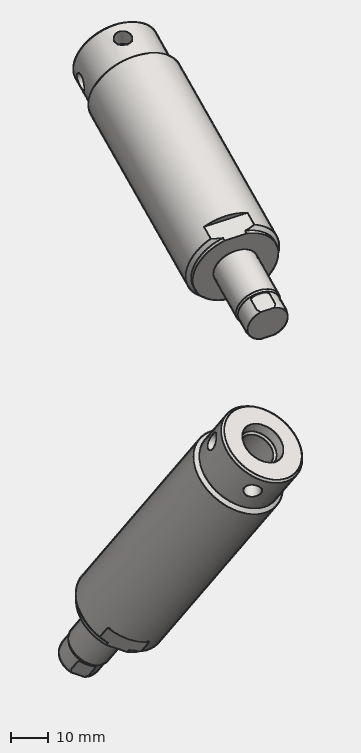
import cadquery as cq

total_length = 102.4

collar_radius = 12.2
collar_length = 12.7
collar_chamfer = 0.6

body_radius = 13.4
body_end = 79.9
body_front_cone_length = 0.9
body_rear_cone_length = 1.0
lip_radius = 12.3
lip_end = 80.9

shaft_radius = 6.3
shaft_end = 96.6
tip_radius = 6.0
shaft_chamfer_length = 0.6
tip_chamfer_length = 1.2
tip_chamfer_depth = 0.26

body_flat_height = 11.9
body_flat_start = 74.3
tip_flat_height = 5.4
tip_flat_start = 96.9
tip_flat_fillet = 0.6

mouth_radius = 6.1
mouth_inner_radius = 5.5
mouth_length = 2.7
inner_bore_radius = 4.9
bore_cone_length = mouth_inner_radius - inner_bore_radius
bore_depth = 12.8

wrench_hole_radius = 2.5
wrench_hole_x = 5.6
wrench_hole_depth = 5.1
wrench_hole_count = 4


def revolve_about_x(points):
    """Revolve a closed (x, radius) outline about the X axis."""
    return cq.Workplane("XY").polyline(points).close().revolve(360, (0, 0, 0), (1, 0, 0))


def make_turned_blank():
    return revolve_about_x([
        (0, 0),
        (0, collar_radius - collar_chamfer),
        (collar_chamfer, collar_radius),
        (collar_length, collar_radius),
        (collar_length + body_front_cone_length, body_radius),
        (body_end - body_rear_cone_length, body_radius),
        (body_end, lip_radius),
        (lip_end, lip_radius),
        (lip_end, shaft_radius),
        (shaft_end - shaft_chamfer_length, shaft_radius),
        (shaft_end, tip_radius),
        (total_length - tip_chamfer_length, tip_radius),
        (total_length, tip_radius - tip_chamfer_depth),
        (total_length, 0),
    ])


def make_bore():
    return revolve_about_x([
        (0, 0),
        (0, mouth_radius),
        (mouth_length, mouth_inner_radius),
        (mouth_length + bore_cone_length, inner_bore_radius),
        (bore_depth, inner_bore_radius),
        (bore_depth, 0),
    ])


def make_wrench_holes():
    holes = cq.Workplane("XY")
    for index in range(wrench_hole_count):
        hole = (
            cq.Workplane("XY", origin=(wrench_hole_x, 0, collar_radius - wrench_hole_depth))
            .circle(wrench_hole_radius)
            .extrude(body_radius)
            .rotate((0, 0, 0), (1, 0, 0), index * 360 / wrench_hole_count)
        )
        holes = holes.add(hole)
    return holes.combine()


def make_flat_cutter(start, end, height):
    """Block that removes everything above the given height between two X positions."""
    width = 2 * body_radius
    return cq.Workplane("XY", origin=(start, 0, height)).box(
        end - start, width, body_radius, centered=(False, True, False)
    )


def cut_opposed_flats(part, cutter):
    return part.cut(cutter).cut(cutter.mirror("XY"))


body_flat_cutter = make_flat_cutter(body_flat_start, lip_end, body_flat_height)
tip_flat_cutter = make_flat_cutter(tip_flat_start, total_length, tip_flat_height)
tip_flat_cutter = tip_flat_cutter.edges("<X and <Z").fillet(tip_flat_fillet)

result = make_turned_blank()
result = result.cut(make_bore())
result = result.cut(make_wrench_holes())
result = cut_opposed_flats(result, body_flat_cutter)
result = cut_opposed_flats(result, tip_flat_cutter)